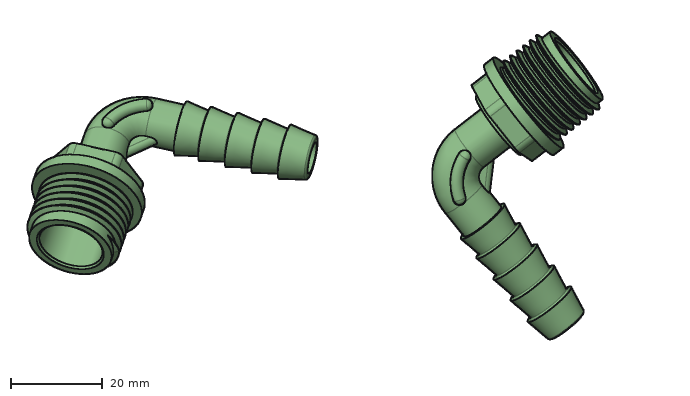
import cadquery as cq
import math


stub_radius = 9.35
flange_radius = 24.8 / 2
flange_bottom = 13.3
flange_top = 15.9
hex_top = 20.65
hex_across_flats = 19.05
hex_corner_fillet = 2.0
collar_top = 21.6
collar_radius = 8.05

thread_radius = 10.5
thread_pitch = 1.8
thread_start = 1.9
thread_turns = 6.75
thread_base_width = 1.5
thread_crest_width = 0.15
thread_sink = 0.3
lead_in_angle = 35
lead_in_sections = 6
lead_in_scale = 0.1

overall_length = 56.55
overall_depth = 43.55
barb_radius = 12.15 / 2
pipe_radius = 5.2
bend_radius = 7.85
outlet_end = overall_length - flange_radius
outlet_axis = overall_depth - barb_radius

barb_count = 5
barb_pitch = 6.0
first_barb_length = 5.5
last_barb_length = 6.1
barb_overlap = 0.55
barb_tip_radius = 5.05
groove_fillet = 0.45
tip_fillet = 0.55
barb_starts = [outlet_end - last_barb_length - barb_pitch * i for i in reversed(range(barb_count - 1))]
barb_starts.insert(0, barb_starts[0] - first_barb_length)

pipe_bore_radius = 3.5
inlet_bore_radius = 7.1
inlet_bore_depth = 18.65
inlet_chamfer = 0.45

rib_radius = 1.4
rib_height = 5.4
rib_arc_radius = 10.9
rib_arc_x = 10.25
rib_arc_y = 27.3
rib_end_angle = 19.5

gusset_half_thickness = 1.3
gusset_depth = 4.5
gusset_edge_offset = 21.7


def disc(radius, bottom, top):
    """Cylinder around the inlet axis between two Y levels."""
    return cq.Workplane("XZ", origin=(0, bottom, 0)).circle(radius).extrude(bottom - top)


def make_hexagon():
    corner_diameter = hex_across_flats / math.cos(math.pi / 6)
    prism = cq.Workplane("XZ", origin=(0, flange_top, 0)).polygon(6, corner_diameter)
    return prism.extrude(flange_top - hex_top).edges("|Y").fillet(hex_corner_fillet)


def thread_section(angle, scale):
    """Closed tooth outline around local Z at an angle from the thread start, scaled in height and width."""
    turn = math.radians(angle)
    centre = thread_start + thread_pitch * angle / 360
    root = stub_radius - thread_sink
    crest = root + (thread_radius - root) * scale
    half_base = thread_base_width / 2 * scale
    half_crest = thread_crest_width / 2 * scale
    outline = [(root, -half_base), (crest, -half_crest), (crest, half_crest), (root, half_base)]
    points = [cq.Vector(r * math.cos(turn), r * math.sin(turn), centre + z) for r, z in outline]
    return cq.Wire.makePolygon(points, close=True)


def make_thread():
    helix = cq.Wire.makeHelix(
        thread_pitch, thread_pitch * thread_turns, stub_radius, center=cq.Vector(0, 0, thread_start)
    )
    full_thread = cq.Solid.sweep(thread_section(0, 1), [], helix, True, True)
    sections = []
    for i in range(lead_in_sections + 1):
        progress = i / lead_in_sections
        scale = lead_in_scale + (1 - lead_in_scale) * progress
        sections.append(thread_section(lead_in_angle * (progress - 1), scale))
    lead_in = cq.Solid.makeLoft(sections)
    return [body.rotate(cq.Vector(0, 0, 0), cq.Vector(1, 0, 0), -90) for body in (full_thread, lead_in)]


def bent_tube(radius, start_y, end_x):
    """Round bar running up the inlet axis, through the bend and out along +X."""
    bend_start = outlet_axis - bend_radius
    bend_middle = bend_radius * (1 - math.sqrt(0.5))
    path = (
        cq.Workplane("XY")
        .moveTo(0, start_y)
        .lineTo(0, bend_start)
        .threePointArc((bend_middle, outlet_axis - bend_middle), (bend_radius, outlet_axis))
        .lineTo(end_x, outlet_axis)
    )
    return cq.Workplane("XZ", origin=(0, start_y, 0)).circle(radius).sweep(path)


def make_barbs():
    """Barbed end revolved about the outlet axis; the profile is drawn as (position along X, radius)."""
    arc_offset = groove_fillet * (1 - math.sqrt(0.5))
    taper = (barb_radius - barb_tip_radius) / (barb_pitch - groove_fillet)
    profile = cq.Workplane("XY", origin=(0, outlet_axis, 0)).moveTo(barb_starts[0], 0)
    for start, next_start in zip(barb_starts, barb_starts[1:]):
        groove_start = next_start - groove_fillet
        groove_radius = barb_radius - taper * (groove_start - start)
        profile = (
            profile.lineTo(start, barb_radius)
            .lineTo(groove_start, groove_radius)
            .threePointArc(
                (next_start - arc_offset, groove_radius + arc_offset),
                (next_start, groove_radius + groove_fillet),
            )
        )
    last_start = barb_starts[-1]
    last_radius = barb_radius - taper * (outlet_end - last_start)
    profile = profile.lineTo(last_start, barb_radius).lineTo(outlet_end, last_radius)
    profile = profile.lineTo(outlet_end, 0)
    barbs = profile.close().revolve(360, (0, 0, 0), (1, 0, 0))
    return barbs.faces(">X").edges().fillet(tip_fillet)


def make_rib(height):
    """Round rib along an arc with ball ends, its centre line at the given Z."""

    def arc_point(angle):
        turn = math.radians(angle)
        return rib_arc_x - rib_arc_radius * math.cos(turn), rib_arc_y + rib_arc_radius * math.sin(turn)

    start, middle, end = [arc_point(angle) for angle in (rib_end_angle, 45, 90 - rib_end_angle)]
    path = cq.Workplane("XY", origin=(0, 0, height)).moveTo(*start).threePointArc(middle, end)
    turn = math.radians(rib_end_angle)
    start_plane = cq.Plane((*start, height), xDir=(0, 0, 1), normal=(math.sin(turn), math.cos(turn), 0))
    rib = cq.Workplane(start_plane).circle(rib_radius).sweep(path)
    for ball_centre in (start, end):
        rib = rib.union(cq.Workplane("XY").sphere(rib_radius).translate((*ball_centre, height)))
    return rib


def make_gusset():
    """Plate with a fully rounded free edge, running at 45 degrees between the two pipe axes."""
    edge_length = math.sqrt(2) * (outlet_axis - gusset_edge_offset)
    section_plane = cq.Plane((0, gusset_edge_offset, 0), xDir=(-1, 1, 0), normal=(1, 1, 0))
    section = (
        cq.Workplane(section_plane)
        .moveTo(gusset_depth, gusset_half_thickness)
        .lineTo(gusset_half_thickness, gusset_half_thickness)
        .threePointArc((0, 0), (gusset_half_thickness, -gusset_half_thickness))
        .lineTo(gusset_depth, -gusset_half_thickness)
        .close()
    )
    return section.extrude(edge_length)


result = disc(stub_radius, 0, flange_top)
result = result.union(disc(flange_radius, flange_bottom, flange_top))
result = result.union(make_hexagon())
result = result.union(disc(collar_radius, flange_top, collar_top))
for thread_part in make_thread():
    result = result.union(cq.Workplane(thread_part))
result = result.union(bent_tube(pipe_radius, flange_top, barb_starts[0] + barb_overlap))
result = result.union(make_barbs())
result = result.union(make_rib(rib_height)).union(make_rib(-rib_height))
result = result.union(make_gusset())

mouth_radius = inlet_bore_radius + inlet_chamfer
mouth_cone = cq.Solid.makeCone(mouth_radius, 0, mouth_radius, dir=cq.Vector(0, 1, 0))
result = result.cut(cq.Workplane(mouth_cone))
result = result.cut(disc(inlet_bore_radius, 0, inlet_bore_depth))
result = result.cut(bent_tube(pipe_bore_radius, inlet_bore_depth, outlet_end))